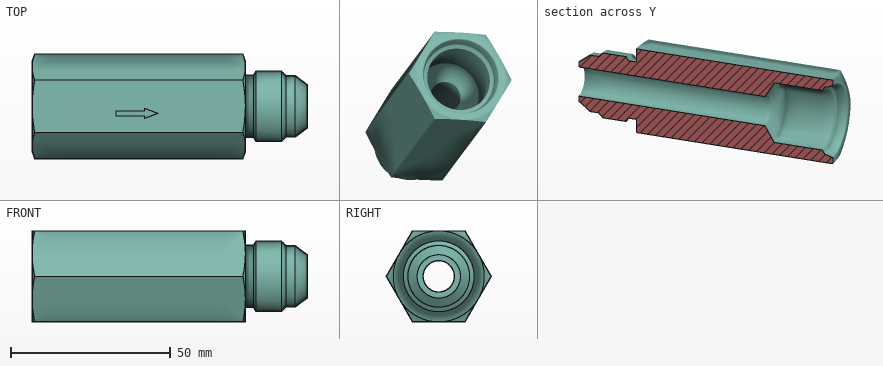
import cadquery as cq
import math

ACROSS_FLATS = 28.575
ACROSS_CORNERS = ACROSS_FLATS / math.cos(math.radians(30))
TOTAL_LENGTH = 86.36
HEX_LENGTH = 66.9
CORNER_BEVEL_ANGLE = 20.0

THREAD_DIAMETER = 22.23
NECK_DIAMETER = 19.68
NOSE_DIAMETER = 19.36
NOSE_TIP_DIAMETER = 13.6
NOSE_CONE_ANGLE = 37.0
NECK_LENGTH = 2.6
THREAD_START_BEVEL = 0.75
THREAD_END = 78.2

MOUTH_DIAMETER = 24.0
MOUTH_RIM_DIAMETER = 24.4
SEAT_DIAMETER = 22.6
SEAT_TAPER_ANGLE = 15.0
LEAD_IN_ANGLE = 60.0
PORT_DIAMETER = 20.1
PORT_DEPTH = 20.0
PORT_FLOOR_ANGLE = 59.0
PASSAGE_DIAMETER = 9.75

ARROW_TAIL_X = 26.3
ARROW_SHOULDER_X = 35.2
ARROW_TIP_X = 39.45
ARROW_CENTRE_Y = -2.2
ARROW_SHAFT_WIDTH = 1.6
ARROW_HEAD_WIDTH = 3.2
ARROW_DEPTH = 0.1


def revolve_about_x(profile):
    """Revolve a closed outline of (x, radius) points about the X axis."""
    return cq.Workplane("XY").polyline(profile).close().revolve(360, (0, 0, 0), (1, 0, 0))


def make_hex_body():
    """Hexagonal bar with its corners bevelled conically at both ends."""
    flat_radius = ACROSS_FLATS / 2
    corner_radius = ACROSS_CORNERS / 2
    bevel_length = (corner_radius - flat_radius) * math.tan(math.radians(CORNER_BEVEL_ANGLE))
    bar = cq.Workplane("YZ").polygon(6, ACROSS_CORNERS).extrude(HEX_LENGTH)
    envelope = revolve_about_x([
        (0, 0),
        (0, flat_radius),
        (bevel_length, corner_radius),
        (HEX_LENGTH - bevel_length, corner_radius),
        (HEX_LENGTH, flat_radius),
        (HEX_LENGTH, 0),
    ])
    return bar.intersect(envelope)


def make_male_end():
    """Neck, bevelled thread collar and conical nose."""
    neck_radius = NECK_DIAMETER / 2
    thread_radius = THREAD_DIAMETER / 2
    nose_radius = NOSE_DIAMETER / 2
    tip_radius = NOSE_TIP_DIAMETER / 2
    thread_start = HEX_LENGTH + NECK_LENGTH
    thread_end_bevel = thread_radius - nose_radius
    cone_length = (nose_radius - tip_radius) / math.tan(math.radians(NOSE_CONE_ANGLE))
    return revolve_about_x([
        (HEX_LENGTH, 0),
        (HEX_LENGTH, neck_radius),
        (thread_start, neck_radius),
        (thread_start + THREAD_START_BEVEL, thread_radius),
        (THREAD_END, thread_radius),
        (THREAD_END + thread_end_bevel, nose_radius),
        (TOTAL_LENGTH - cone_length, nose_radius),
        (TOTAL_LENGTH, tip_radius),
        (TOTAL_LENGTH, 0),
    ])


def make_bore():
    """Port with a tapered seal seat and conical floor, leading to the passage."""
    rim_radius = MOUTH_RIM_DIAMETER / 2
    mouth_radius = MOUTH_DIAMETER / 2
    seat_radius = SEAT_DIAMETER / 2
    port_radius = PORT_DIAMETER / 2
    passage_radius = PASSAGE_DIAMETER / 2
    rim_bevel = rim_radius - mouth_radius
    seat_length = (mouth_radius - seat_radius) / math.tan(math.radians(SEAT_TAPER_ANGLE))
    seat_end = rim_bevel + seat_length
    thread_lead_in = (seat_radius - port_radius) / math.tan(math.radians(LEAD_IN_ANGLE))
    floor_length = (port_radius - passage_radius) / math.tan(math.radians(PORT_FLOOR_ANGLE))
    return revolve_about_x([
        (0, 0),
        (0, rim_radius),
        (rim_bevel, mouth_radius),
        (seat_end, seat_radius),
        (seat_end + thread_lead_in, port_radius),
        (PORT_DEPTH, port_radius),
        (PORT_DEPTH + floor_length, passage_radius),
        (TOTAL_LENGTH, passage_radius),
        (TOTAL_LENGTH, 0),
    ])


def make_arrow():
    """Arrow-shaped cutter pointing along the flow, toward +X."""
    shaft_half = ARROW_SHAFT_WIDTH / 2
    head_half = ARROW_HEAD_WIDTH / 2
    return (
        cq.Workplane("XY", origin=(0, ARROW_CENTRE_Y, ACROSS_FLATS / 2))
        .polyline([
            (ARROW_TAIL_X, -shaft_half),
            (ARROW_SHOULDER_X, -shaft_half),
            (ARROW_SHOULDER_X, -head_half),
            (ARROW_TIP_X, 0),
            (ARROW_SHOULDER_X, head_half),
            (ARROW_SHOULDER_X, shaft_half),
            (ARROW_TAIL_X, shaft_half),
        ])
        .close()
        .extrude(-ARROW_DEPTH)
    )


result = make_hex_body().union(make_male_end()).cut(make_bore()).cut(make_arrow())